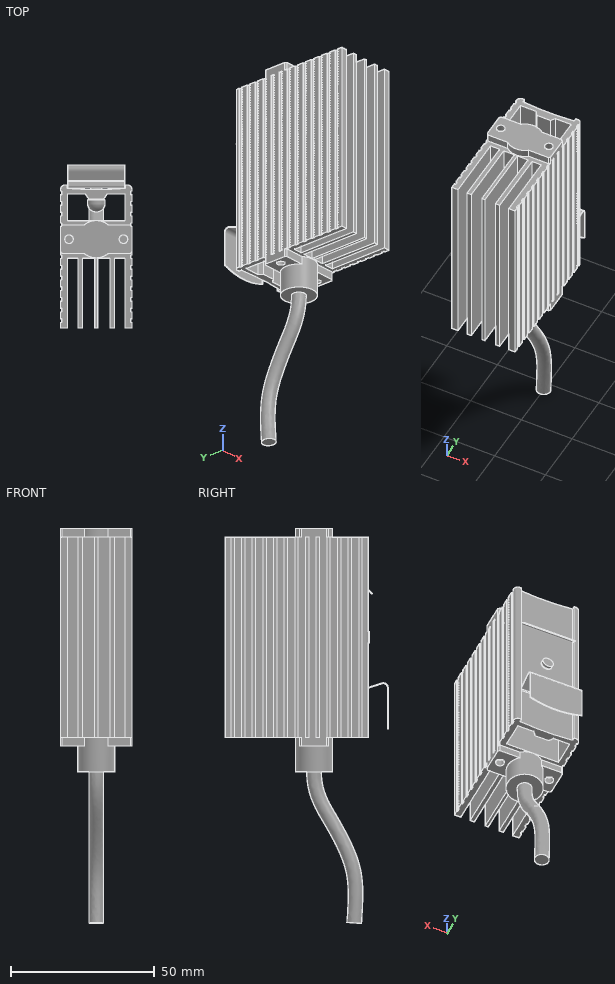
import cadquery as cq
import math


body_width = 25.0
body_length = 70.0
body_back_y = 19.0
body_front_y = -31.0
back_corner_radius = 1.7
core_half_depth = 6.5
side_wall = 2.5
inner_width = body_width - 2 * side_wall

chamber_back_y = 15.7
fin_root_y = -6.7
recess_floor_y = 17.3
recess_edge_y = 17.8
recess_side_clearance = 0.1
recess_width = inner_width + 2 * recess_side_clearance

boss_base_width = 7.6
boss_tip_width = 5.4
boss_height = 1.6

center_fin_width = 1.2
inner_fin_width = 1.65
inner_fin_x = 5.6

groove_count = 13
groove_pitch = 3.72
first_groove_y = 16.2
groove_width = 1.2
groove_depth = 0.4

cap_depth = 10.0
cap_thickness = 3.0
cap_chamfer = 0.6
hub_diameter = 2 * core_half_depth
gland_length = 12.0
cap_hole_diameter = 3.0
cap_hole_x = 9.5

cable_diameter = 5.2
cable_lowest_z = -64.91
cable_end_y = 14.0
cable_end_tilt = math.radians(4)
cable_waypoints = [(5.9, -29.0), (12.9, -43.5)]

clip_width = inner_width
clip_thickness = 0.3
clip_outer_y = 25.9
clip_tail_z = 2.9
clip_curl_radius = 1.6
clip_curl_top_z = 19.0
clip_arm_slope = math.radians(18)
clip_tail_rounding = 1.9
clip_hook_radius = 0.5
clip_hook_z = 51.3
clip_hook_tip_y = 20.3
rivet_shank_diameter = 4.0
rivet_tail_y = 19.3
rivet_head_diameter = 6.2
rivet_head_rim = 2.0
rivet_head_chamfer = 0.45
rivet_dome_height = 2.6


def full_length_block(x_center, width, y_min, y_max):
    """Box spanning the whole extrusion length."""
    return (
        cq.Workplane("XY")
        .center(x_center, (y_min + y_max) / 2)
        .rect(width, y_max - y_min)
        .extrude(body_length)
    )


def make_heat_sink():
    half_width = body_width / 2
    sink = full_length_block(0, body_width, body_front_y, body_back_y)
    sink = sink.edges("|Z and >Y").fillet(back_corner_radius)

    sink = sink.cut(full_length_block(0, inner_width, core_half_depth, chamber_back_y))
    recess = (
        cq.Workplane("XY")
        .moveTo(-recess_width / 2, body_back_y)
        .lineTo(-recess_width / 2, recess_edge_y)
        .threePointArc((0, recess_floor_y), (recess_width / 2, recess_edge_y))
        .lineTo(recess_width / 2, body_back_y)
        .close()
        .extrude(body_length)
    )
    sink = sink.cut(recess)
    sink = sink.cut(full_length_block(0, inner_width, body_front_y, fin_root_y))

    boss = (
        cq.Workplane("XY")
        .moveTo(-boss_base_width / 2, chamber_back_y)
        .lineTo(boss_base_width / 2, chamber_back_y)
        .lineTo(boss_tip_width / 2, chamber_back_y - boss_height)
        .lineTo(-boss_tip_width / 2, chamber_back_y - boss_height)
        .close()
        .extrude(body_length)
    )
    sink = sink.union(boss)

    fins = [(-inner_fin_x, inner_fin_width), (0, center_fin_width), (inner_fin_x, inner_fin_width)]
    for fin_x, fin_width in fins:
        sink = sink.union(full_length_block(fin_x, fin_width, body_front_y, fin_root_y))

    for index in range(groove_count):
        groove_y = first_groove_y - index * groove_pitch
        for side in (-1, 1):
            sink = sink.cut(
                full_length_block(
                    side * half_width,
                    2 * groove_depth,
                    groove_y - groove_width / 2,
                    groove_y + groove_width / 2,
                )
            )
    return sink


def make_cap(z_min):
    """Cap plate with a round hub at its middle and a hole near each end."""
    plate = (
        cq.Workplane("XY", origin=(0, 0, z_min))
        .rect(body_width, cap_depth)
        .extrude(cap_thickness)
        .edges("|Z")
        .chamfer(cap_chamfer)
    )
    hub = cq.Workplane("XY", origin=(0, 0, z_min)).circle(hub_diameter / 2).extrude(cap_thickness)
    holes = (
        cq.Workplane("XY", origin=(0, 0, z_min))
        .pushPoints([(-cap_hole_x, 0), (cap_hole_x, 0)])
        .circle(cap_hole_diameter / 2)
        .extrude(cap_thickness)
    )
    return plate.union(hub).cut(holes)


def make_gland():
    """Round cable outlet below the core."""
    return cq.Workplane("XY").circle(hub_diameter / 2).extrude(-gland_length)


def make_cable():
    """Round cable in an S-bend, swept from the gland towards +Y."""
    end_z = cable_lowest_z + cable_diameter / 2 * math.sin(cable_end_tilt)
    points = [(0, -gland_length)] + cable_waypoints + [(cable_end_y, end_z)]
    end_direction = (-math.sin(cable_end_tilt), -math.cos(cable_end_tilt))
    path = cq.Workplane("YZ").spline(points, tangents=[(0, -1), end_direction])
    return (
        cq.Workplane("XY", origin=(0, 0, -gland_length))
        .circle(cable_diameter / 2)
        .sweep(path)
    )


def make_clip():
    """Bent spring strip: tail, curl, sloping arm, back strip and top hook."""
    tail_y = clip_outer_y - clip_thickness / 2
    strip_y = recess_edge_y + clip_thickness / 2
    curl_y = tail_y - clip_curl_radius
    curl_z = clip_curl_top_z - clip_curl_radius

    def curl_point(angle):
        return (
            curl_y + clip_curl_radius * math.cos(angle),
            curl_z + clip_curl_radius * math.sin(angle),
        )

    curl_end_angle = math.pi / 2 + clip_arm_slope
    curl_end = curl_point(curl_end_angle)
    arm_end_z = curl_end[1] - (curl_end[0] - strip_y) * math.tan(clip_arm_slope)

    hook_y = strip_y + clip_hook_radius
    hook_offset = clip_hook_radius * math.sin(math.pi / 4)
    hook_end = (hook_y + hook_offset, clip_hook_z + hook_offset)
    hook_top = (hook_y, clip_hook_z + clip_hook_radius)
    hook_tip = (clip_hook_tip_y, hook_end[1] - (clip_hook_tip_y - hook_end[0]))

    path = (
        cq.Workplane("YZ")
        .moveTo(tail_y, clip_tail_z)
        .lineTo(tail_y, curl_z)
        .threePointArc(curl_point(curl_end_angle / 2), curl_end)
        .lineTo(strip_y, arm_end_z)
        .lineTo(strip_y, clip_hook_z)
        .threePointArc(hook_top, hook_end)
        .lineTo(*hook_tip)
    )
    strip = (
        cq.Workplane("XY", origin=(0, tail_y, clip_tail_z))
        .rect(clip_width, clip_thickness)
        .sweep(path, transition="right")
    )

    corner_z = clip_tail_z + clip_tail_rounding
    trim = (
        cq.Workplane("XZ", origin=(0, clip_outer_y, 0))
        .moveTo(-clip_width / 2, corner_z)
        .threePointArc((0, clip_tail_z), (clip_width / 2, corner_z))
        .lineTo(clip_width / 2, clip_tail_z)
        .lineTo(-clip_width / 2, clip_tail_z)
        .close()
        .extrude(clip_thickness)
    )
    return strip.cut(trim)


def make_rivet():
    """Rivet at mid-length: flat tail outside the clip, domed head on the boss in the chamber."""
    head_y = chamber_back_y - boss_height
    rim_y = head_y - rivet_head_rim
    shank_radius = rivet_shank_diameter / 2
    head_radius = rivet_head_diameter / 2
    dome_sphere_radius = (head_radius**2 + rivet_dome_height**2) / (2 * rivet_dome_height)
    dome_tip_y = rim_y - rivet_dome_height
    dome_half_angle = math.asin(head_radius / dome_sphere_radius) / 2
    dome_middle = (
        dome_sphere_radius * math.sin(dome_half_angle),
        dome_tip_y + dome_sphere_radius * (1 - math.cos(dome_half_angle)),
    )
    return (
        cq.Workplane("XY", origin=(0, 0, body_length / 2))
        .moveTo(0, rivet_tail_y)
        .lineTo(shank_radius, rivet_tail_y)
        .lineTo(shank_radius, head_y)
        .lineTo(head_radius - rivet_head_chamfer, head_y)
        .lineTo(head_radius, head_y - rivet_head_chamfer)
        .lineTo(head_radius, rim_y)
        .threePointArc(dome_middle, (0, dome_tip_y))
        .close()
        .revolve(360, (0, 0, 0), (0, 1, 0))
    )


result = (
    make_heat_sink()
    .union(make_cap(body_length))
    .union(make_cap(-cap_thickness))
    .union(make_gland())
    .union(make_cable())
    .union(make_clip())
    .union(make_rivet())
)